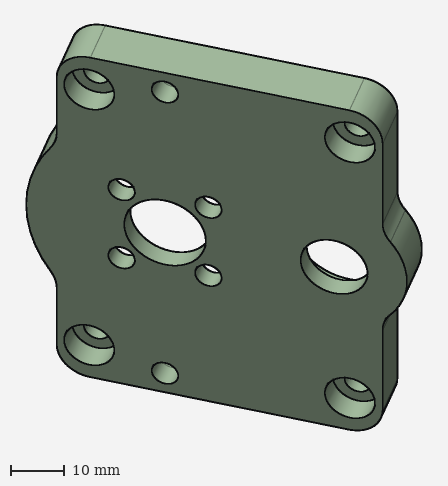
import cadquery as cq
import math

width = 63.5
height = 79.4
thickness = 9.5
corner_radius = 6.5

motor_x = -10.6
motor_lobe_radius = 27.1
shaft_x = 22.3
shaft_lobe_radius = 14.2
blend_radius = 6.5

motor_bore = 15.9
shaft_bore = 13.0
screw_hole = 5.15
motor_screw_spacing = 16.9
end_hole_spacing = 69.85
corner_spacing_x = 50.8
corner_spacing_z = 63.5
counterbore = 9.8
counterbore_depth = 5.0

web_thickness = 4.0
lobe_wall = 3.2


def lobe(center_x, radius, side):
    """Lobe with concave blends; side is -1 for the left edge, +1 for the right."""
    edge_x = side * width / 2
    blend_x = edge_x + side * blend_radius
    run = blend_x - center_x
    reach = radius + blend_radius
    blend_z = math.sqrt(reach**2 - run**2)

    def on_blend(angle):
        return (
            blend_x - side * blend_radius * math.cos(angle),
            blend_z - blend_radius * math.sin(angle),
        )

    def mirrored(point):
        return (point[0], -point[1])

    sweep = math.atan2(blend_z, abs(run))
    edge_point = on_blend(0)
    middle_point = on_blend(sweep / 2)
    lobe_point = on_blend(sweep)
    return (
        cq.Workplane("XZ")
        .moveTo(center_x, edge_point[1])
        .lineTo(*edge_point)
        .threePointArc(middle_point, lobe_point)
        .threePointArc((center_x + side * radius, 0), mirrored(lobe_point))
        .threePointArc(mirrored(middle_point), mirrored(edge_point))
        .lineTo(center_x, -edge_point[1])
        .close()
        .extrude(thickness / 2, both=True)
    )


def hole_cutter(points, diameter):
    """Cylinders running through the whole thickness."""
    return (
        cq.Workplane("XZ")
        .pushPoints(points)
        .circle(diameter / 2)
        .extrude(thickness, both=True)
    )


def pocket_cutter(center_x, radius):
    """Cylinder from the web to the +Y face."""
    return (
        cq.Workplane("XZ", origin=(center_x, thickness / 2, 0))
        .circle(radius)
        .extrude(thickness - web_thickness)
    )


def rectangle_points(center_x, spacing_x, spacing_z):
    return [
        (center_x + sx * spacing_x / 2, sz * spacing_z / 2)
        for sx in (-1, 1)
        for sz in (-1, 1)
    ]


plate = cq.Workplane("XZ").rect(width, height).extrude(thickness / 2, both=True)
plate = plate.edges("|Y").fillet(corner_radius)
plate = plate.union(lobe(motor_x, motor_lobe_radius, -1))
plate = plate.union(lobe(shaft_x, shaft_lobe_radius, 1))

plate = plate.cut(pocket_cutter(motor_x, motor_lobe_radius - lobe_wall))
plate = plate.cut(pocket_cutter(shaft_x, shaft_lobe_radius - lobe_wall))

plate = plate.cut(hole_cutter([(motor_x, 0)], motor_bore))
plate = plate.cut(hole_cutter([(shaft_x, 0)], shaft_bore))

motor_screws = rectangle_points(motor_x, motor_screw_spacing, motor_screw_spacing)
end_holes = [(motor_x, sz * end_hole_spacing / 2) for sz in (-1, 1)]
corner_holes = rectangle_points(0, corner_spacing_x, corner_spacing_z)
plate = plate.cut(hole_cutter(motor_screws + end_holes + corner_holes, screw_hole))

counterbores = (
    cq.Workplane("XZ", origin=(0, -thickness / 2, 0))
    .pushPoints(corner_holes)
    .circle(counterbore / 2)
    .extrude(-counterbore_depth)
)
result = plate.cut(counterbores)